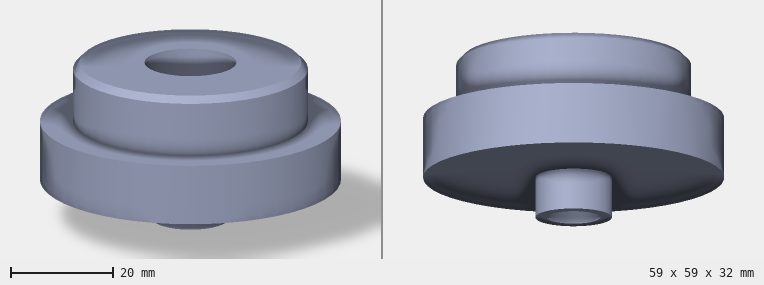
import cadquery as cq

flange_diameter = 59.0
flange_height = 12.0
boss_diameter = 46.0
boss_height = 12.0
boss_chamfer = 1.3
spigot_diameter = 15.0
spigot_length = 8.0
bore_diameter = 10.5
counterbore_diameter = 18.0
counterbore_depth = 11.0

flange_bottom = spigot_length
flange_top = flange_bottom + flange_height
boss_top = flange_top + boss_height


def cylinder(diameter, bottom, top):
    """Upright cylinder on the Z axis between two levels."""
    return cq.Workplane("XY").workplane(offset=bottom).circle(diameter / 2).extrude(top - bottom)


spigot = cylinder(spigot_diameter, 0, flange_bottom)
flange = cylinder(flange_diameter, flange_bottom, flange_top)
boss = cylinder(boss_diameter, flange_top, boss_top).faces(">Z").chamfer(boss_chamfer)
body = spigot.union(flange).union(boss)

bore = cylinder(bore_diameter, 0, boss_top)
counterbore = cylinder(counterbore_diameter, boss_top - counterbore_depth, boss_top)

result = body.cut(bore).cut(counterbore)